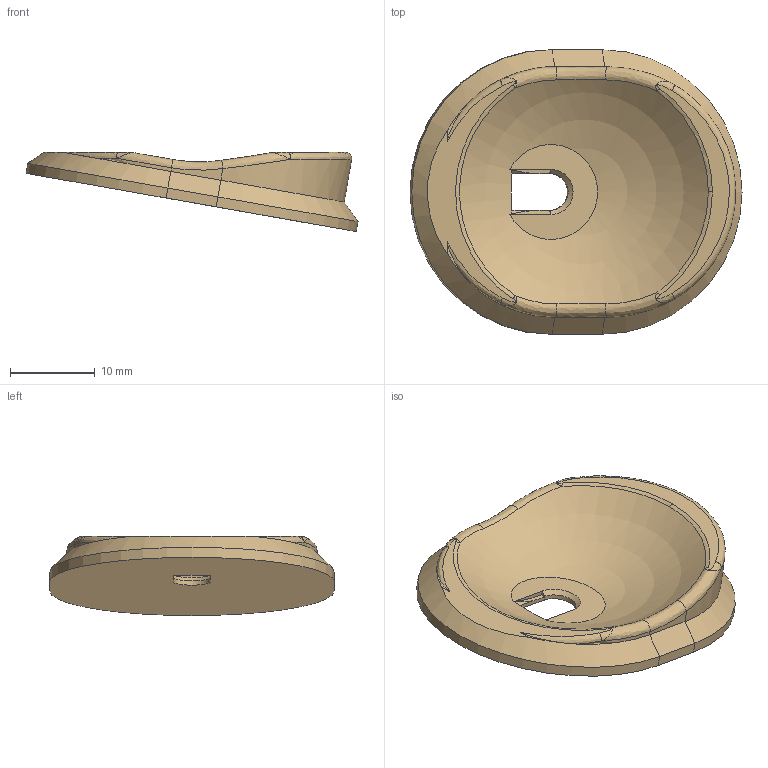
import cadquery as cq
import math

TILT = 10.0
STRAIGHT = 6.0
BASE_RADIUS = 16.8
BASE_EDGE = 1.2
TAPER_HEIGHT = 2.0
TAPER_INSET = 2.0

WALL_RADIUS = BASE_RADIUS - TAPER_INSET
RIM_HEIGHT = 6.0
RIM_FILLET = 0.75
LIP_FILLET = 1.0
COLUMN_HEIGHT = 20.0

BOWL_RADIUS = 23.2
BOWL_RIM_RADIUS = 14.9

FLOOR_HEIGHT = 1.0
SLOT_RADIUS = 2.17
SLOT_CHAMFER = 0.5
SLOT_LENGTH = 4.7
CHAMFER_ANGLE = 45.0

tilt = math.radians(TILT)
rim_x = RIM_HEIGHT * math.sin(tilt)
rim_z = RIM_HEIGHT * math.cos(tilt)
bowl_rise = math.sqrt(BOWL_RADIUS**2 - BOWL_RIM_RADIUS**2)
bowl_foot = -bowl_rise * math.sin(tilt)
slot_wide = SLOT_RADIUS + SLOT_CHAMFER
LARGE = 100.0


def tilted(shape):
    """Turn a shape built square to the base into the part's axes."""
    return shape.rotate((0, 0, 0), (0, 1, 0), TILT)


def stadium(radius, height=0.0):
    """Stadium outline of the given end radius, at a height above the base."""
    return cq.Workplane("XY", origin=(0, 0, height)).slot2D(STRAIGHT + 2 * radius, 2 * radius)


def below_rim():
    """Everything under the horizontal rim plane."""
    return cq.Workplane("XY", origin=(0, 0, rim_z)).rect(LARGE, LARGE).extrude(-LARGE)


def bowl_sphere():
    return cq.Workplane("XY").sphere(BOWL_RADIUS).translate((rim_x, 0, rim_z + bowl_rise))


def wall():
    """Column with a rounded rim, dipping at the sides where the bowl breaks through it."""
    column = tilted(stadium(WALL_RADIUS).extrude(COLUMN_HEIGHT))
    dished = column.cut(bowl_sphere())
    lip = dished.faces("%SPHERE").edges().fillet(LIP_FILLET)
    trimmed = lip.intersect(below_rim())
    return trimmed.faces(">Z").edges("%ELLIPSE").fillet(RIM_FILLET)


def base():
    """Plate with a straight edge and a tapered shoulder, trimmed by the rim plane."""
    edge = stadium(BASE_RADIUS).extrude(BASE_EDGE)
    slope = math.degrees(math.atan(TAPER_INSET / TAPER_HEIGHT))
    taper = stadium(BASE_RADIUS, BASE_EDGE).extrude(TAPER_HEIGHT, taper=slope)
    return tilted(edge.union(taper)).intersect(below_rim())


def floor_and_relief():
    """Flat floor closing the bottom of the bowl, open to the sphere beyond the slot end."""
    floor = stadium(WALL_RADIUS).extrude(FLOOR_HEIGHT)
    relief_length = WALL_RADIUS / 2
    relief = (
        cq.Workplane("XY", origin=(bowl_foot - relief_length / 2, 0, 0))
        .rect(relief_length, 2 * slot_wide)
        .extrude(FLOOR_HEIGHT)
    )
    return tilted(floor.cut(relief))


def slot_outline(radius):
    """Slot outline with a round +X end and a square -X end."""
    return (
        cq.Workplane("XY", origin=(bowl_foot, 0, 0))
        .moveTo(-SLOT_LENGTH, -radius)
        .lineTo(0, -radius)
        .threePointArc((radius, 0), (0, radius))
        .lineTo(-SLOT_LENGTH, radius)
        .close()
    )


def slot():
    """Through slot with its floor edge chamfered along the sides and round end."""
    chamfer_start = FLOOR_HEIGHT - SLOT_CHAMFER
    through = slot_outline(SLOT_RADIUS).extrude(FLOOR_HEIGHT)
    end = cq.Workplane("XY", origin=(bowl_foot, 0, FLOOR_HEIGHT)).circle(slot_wide)
    countersink = end.extrude(-SLOT_CHAMFER, taper=CHAMFER_ANGLE)
    profile = [
        (-SLOT_RADIUS, chamfer_start),
        (SLOT_RADIUS, chamfer_start),
        (slot_wide, FLOOR_HEIGHT),
        (-slot_wide, FLOOR_HEIGHT),
    ]
    groove = cq.Workplane("YZ", origin=(bowl_foot, 0, 0)).polyline(profile).close().extrude(-SLOT_LENGTH)
    return tilted(through.union(countersink).union(groove))


bowl = bowl_sphere().cut(floor_and_relief())
result = wall().union(base().cut(bowl)).cut(slot())